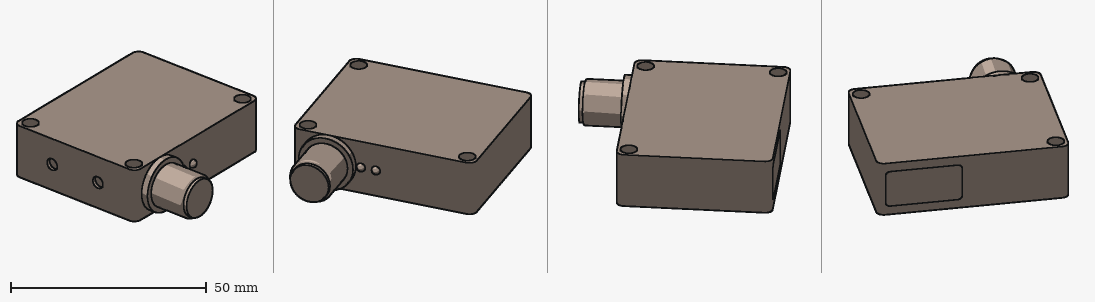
import cadquery as cq

OVERALL_LENGTH = 53
LENGTH = 40.0
WIDTH = 50.0
HEIGHT = 15.0
CORNER_RADIUS = 1.95
MID_HEIGHT = HEIGHT / 2

MOUNT_DIAMETER = 4.3
MOUNT_INSET = 3.0

SIDE_HOLE_DIAMETER = 3.3
SIDE_HOLE_DEPTH = 1.0
SIDE_HOLE_SPACING = 15.0
SIDE_HOLE_COUNT = 2
SIDE_HOLE_FIRST_X = 12.6

LAMP_RADIUS = 1.15
LAMP_HEIGHT = 1.1
LAMP_POSITIONS_Y = (18.85, 23.0)

WINDOW_WIDTH = 20.0
WINDOW_HEIGHT = 10.05
WINDOW_BOTTOM = 2.45
WINDOW_DEPTH = 1.0
WINDOW_RADIUS = 1.2
WINDOW_INSET = 2.05

CONNECTOR_Y = 9.95
CONNECTOR_LENGTH = OVERALL_LENGTH - LENGTH
FLANGE_RADIUS = MID_HEIGHT
FLANGE_THICKNESS = 1.9
BARREL_RADIUS = 6.0
BARREL_FILLET = 0.65
NOSE_RADIUS = 5.3
NOSE_LENGTH = 1.0


def make_window():
    """Rounded rectangular plate whose outer face lies in the -X side of the housing."""
    center_y = WIDTH - WINDOW_INSET - WINDOW_WIDTH / 2
    center_z = WINDOW_BOTTOM + WINDOW_HEIGHT / 2
    return (
        cq.Workplane("YZ")
        .center(center_y, center_z)
        .rect(WINDOW_WIDTH, WINDOW_HEIGHT)
        .extrude(WINDOW_DEPTH)
        .edges("|X")
        .fillet(WINDOW_RADIUS)
    )


def make_lamp_dome(y):
    """Spherical cap standing on the +X side."""
    sphere_radius = (LAMP_RADIUS**2 + LAMP_HEIGHT**2) / (2 * LAMP_HEIGHT)
    profile = (
        cq.Workplane("XZ", origin=(LENGTH, y, MID_HEIGHT))
        .lineTo(0, LAMP_RADIUS)
        .radiusArc((LAMP_HEIGHT, 0), sphere_radius)
        .close()
    )
    return profile.revolve(360, (0, 0, 0), (1, 0, 0))


def make_housing(window):
    """Rounded block with its holes, the window recess and the lamp domes."""
    block = (
        cq.Workplane("XY")
        .box(LENGTH, WIDTH, HEIGHT, centered=False)
        .edges("|Z")
        .fillet(CORNER_RADIUS)
    )

    near_x, far_x = MOUNT_INSET, LENGTH - MOUNT_INSET
    near_y, far_y = MOUNT_INSET, WIDTH - MOUNT_INSET
    mount_holes = (
        cq.Workplane("XY")
        .pushPoints([(near_x, near_y), (far_x, near_y), (far_x, far_y)])
        .circle(MOUNT_DIAMETER / 2)
        .extrude(HEIGHT)
    )

    hole_centers = [
        (SIDE_HOLE_FIRST_X + i * SIDE_HOLE_SPACING, MID_HEIGHT) for i in range(SIDE_HOLE_COUNT)
    ]
    side_holes = (
        cq.Workplane("XZ")
        .pushPoints(hole_centers)
        .circle(SIDE_HOLE_DIAMETER / 2)
        .extrude(-SIDE_HOLE_DEPTH)
    )

    housing = block.cut(mount_holes).cut(side_holes).cut(window)
    for y in LAMP_POSITIONS_Y:
        housing = housing.union(make_lamp_dome(y))
    return housing


def make_connector():
    """Flange, barrel with a rounded front edge, and a narrower nose."""
    barrel_end = CONNECTOR_LENGTH - NOSE_LENGTH
    base = cq.Workplane("YZ", origin=(LENGTH, CONNECTOR_Y, MID_HEIGHT))
    flange = base.circle(FLANGE_RADIUS).extrude(FLANGE_THICKNESS)
    barrel = base.circle(BARREL_RADIUS).extrude(barrel_end).faces(">X").edges().fillet(BARREL_FILLET)
    nose = base.circle(NOSE_RADIUS).extrude(CONNECTOR_LENGTH)
    return flange.union(barrel).union(nose)


window = make_window()
housing = make_housing(window)
connector = make_connector()

result = cq.Compound.makeCompound([housing.val(), window.val(), connector.val()])